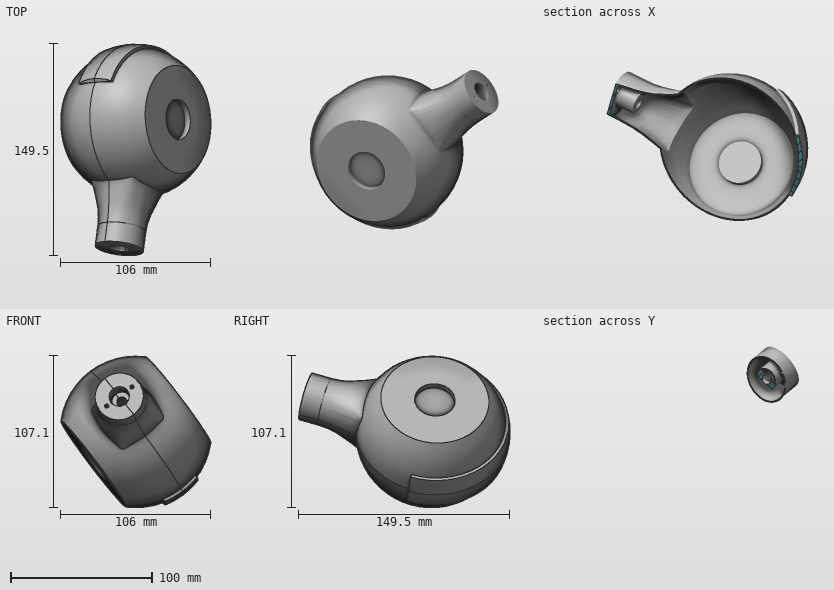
import cadquery as cq
import math

TURN_X = -19.8
TURN_Y = -37.12
TURN_Z = 4.72

WALL = 7.5 / 7
BALL_RADIUS = 50 * WALL
BALL_WIDTH = 70 * WALL
RECESS_DIAMETER = 200 / 7
RECESS_DEPTH = 5.0

NECK_REACH = 650 / 7
NECK_RADIUS = 16 * WALL
COLLAR_LENGTH = 100 / 7
FLARE_END = NECK_REACH - COLLAR_LENGTH
FLARE_START = 36.0
FLARE_SECTIONS = 6
FOOT_HALF_WIDTH = 31.0
FOOT_SQUARENESS = 14
OUTLINE_SPANS = 24

END_WALL = 2 * WALL
BORE_DIAMETER = 100 / 7
BORE_DEPTH = COLLAR_LENGTH
PILOT_DIAMETER = BORE_DIAMETER / 2
PIN_HOLE_DIAMETER = 20 / 7
PIN_HOLE_OFFSET = 11.2

BAND_THICKNESS = 2 * WALL
BAND_WIDTH = 200 / 7
BAND_HIGH_END = 100 / 7
BAND_LIP = 0.15
BAND_BEVEL_ANGLE = math.radians(30)

FAR = 4 * BALL_RADIUS


def half_slice(radius, half_width):
    """The X > 0 half of a ball about the origin, sliced flat at X = half_width."""
    rim = math.sqrt(radius**2 - half_width**2)
    middle_x = half_width / 2
    middle_y = math.sqrt(radius**2 - middle_x**2)
    return (
        cq.Workplane("XY")
        .lineTo(0, radius)
        .threePointArc((middle_x, middle_y), (half_width, rim))
        .lineTo(half_width, 0)
        .close()
        .revolve(360, (0, 0, 0), (1, 0, 0))
    )


def neck_plane(reach):
    """A plane across the neck, facing its open end, with X across the split."""
    return cq.Workplane("XZ", origin=(0, -reach, 0))


def flare_section(reach, inset):
    """Half outline of the flare: a circle blended smoothly into a rounded square (superellipse)."""
    u = 1 - reach / FLARE_END
    blend = 3 * u**2 - 2 * u**3
    points = []
    for i in range(OUTLINE_SPANS + 1):
        angle = math.pi * (i / OUTLINE_SPANS - 0.5)
        across = math.cos(angle)
        up = math.sin(angle)
        norm = (abs(across) ** FOOT_SQUARENESS + abs(up) ** FOOT_SQUARENESS) ** (1 / FOOT_SQUARENESS)
        foot = FOOT_HALF_WIDTH / norm
        radius = NECK_RADIUS + blend * (foot - NECK_RADIUS) - inset
        points.append((radius * across, radius * up))
    return neck_plane(reach).spline(points).close().val()


def half_neck(side_inset, end_inset):
    """The X > 0 half of the neck, with its sides and its end face moved in by the insets."""
    step = (FLARE_END - FLARE_START) / (FLARE_SECTIONS - 1)
    sections = [flare_section(FLARE_START + i * step, side_inset) for i in range(FLARE_SECTIONS)]
    flare = cq.Workplane(cq.Solid.makeLoft(sections))
    radius = NECK_RADIUS - side_inset
    collar = (
        neck_plane(FLARE_END)
        .moveTo(0, -radius)
        .threePointArc((radius, 0), (0, radius))
        .close()
        .extrude(COLLAR_LENGTH - end_inset)
    )
    return flare.union(collar)


def half_band():
    """A raised strip on the ball, square at its lower end and bevelled at its upper end."""
    bevel_foot = math.sqrt(BALL_RADIUS**2 - BAND_HIGH_END**2) + BAND_LIP
    bevel_y = BAND_HIGH_END + FAR * math.cos(BAND_BEVEL_ANGLE)
    bevel_z = bevel_foot + FAR * math.sin(BAND_BEVEL_ANGLE)
    reach = (
        cq.Workplane("YZ")
        .lineTo(0, -FAR)
        .lineTo(bevel_y, -FAR)
        .lineTo(bevel_y, bevel_z)
        .lineTo(BAND_HIGH_END, bevel_foot)
        .lineTo(BAND_HIGH_END, 0)
        .close()
        .extrude(BAND_WIDTH)
    )
    return half_slice(BALL_RADIUS + BAND_THICKNESS, BAND_WIDTH / 2).intersect(reach)


def recess(inset):
    """The round recess in the flat, or with an inset the solid cup that holds it."""
    floor = BALL_WIDTH / 2 - RECESS_DEPTH - inset
    return cq.Workplane("YZ", origin=(floor, 0, 0)).circle(RECESS_DIAMETER / 2 + inset).extrude(FAR)


def bore(side_inset, floor_inset):
    """The bore in the end of the neck, or with insets the solid cup that holds it."""
    radius = BORE_DIAMETER / 2 + side_inset
    return neck_plane(NECK_REACH).circle(radius).extrude(-BORE_DEPTH - floor_inset)


def small_holes():
    """The pilot hole through the bore's floor and the pin hole through the neck's end wall."""
    pilot_depth = BORE_DEPTH + END_WALL + WALL
    pilot = neck_plane(NECK_REACH).circle(PILOT_DIAMETER / 2).extrude(-pilot_depth)
    pin_hole = (
        neck_plane(NECK_REACH)
        .center(PIN_HOLE_OFFSET, 0)
        .circle(PIN_HOLE_DIAMETER / 2)
        .extrude(-END_WALL - WALL)
    )
    return pilot.union(pin_hole)


def cavity():
    """The hollow inside the half shell, leaving walls round the recess and the bore."""
    ball_hollow = half_slice(BALL_RADIUS - WALL, BALL_WIDTH / 2 - WALL)
    hollow = ball_hollow.union(half_neck(WALL, END_WALL))
    return hollow.cut(recess(WALL)).cut(bore(WALL, END_WALL))


def half_shell():
    """The X > 0 half of the part."""
    outside = half_slice(BALL_RADIUS, BALL_WIDTH / 2).union(half_band()).union(half_neck(0, 0))
    return outside.cut(cavity()).cut(recess(0)).cut(bore(0, 0)).cut(small_holes())


def turned(body):
    """The body turned from its modelling position to its final one."""
    body = body.rotate((0, 0, 0), (1, 0, 0), TURN_X)
    body = body.rotate((0, 0, 0), (0, 1, 0), TURN_Y)
    return body.rotate((0, 0, 0), (0, 0, 1), TURN_Z)


right_half = half_shell()
left_half = right_half.mirror("YZ")
result = cq.Compound.makeCompound([turned(half).val() for half in (right_half, left_half)])